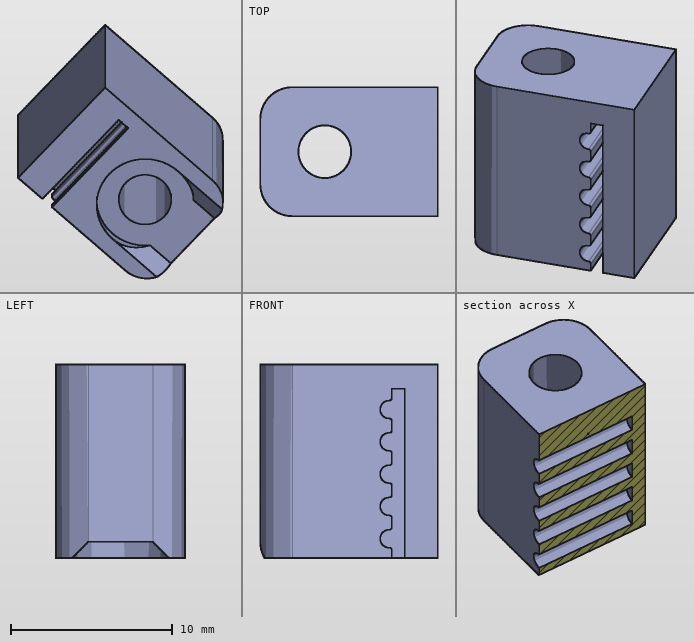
import cadquery as cq

length = 11.0
width = 8.0
height = 12.0
corner_radius = 2.0

hole_x = 4.0
hole_diameter = 3.25
counterbore_diameter = 6.0
counterbore_depth = 1.0

notch_bottom_width = counterbore_diameter
notch_top_width = width - 2 * corner_radius

slot_end_wall = 1.0
slot_depth = width - slot_end_wall
plain_wall_x = 8.95
slot_width = 0.8
toothed_wall_x = plain_wall_x - slot_width
slot_top_z = 10.5
tooth_count = 5
tooth_pitch = 2.0
first_tooth_z = 1.2
tooth_depth = 0.72
tooth_radius = 0.555
tooth_mouth_fillet = 0.15


def make_block():
    block = cq.Workplane("XY").box(length, width, height, centered=(False, True, False))
    return block.edges("|Z and <X").fillet(corner_radius)


def make_screw_cut():
    hole = cq.Workplane("XY").center(hole_x, 0).circle(hole_diameter / 2).extrude(height)
    counterbore = (
        cq.Workplane("XY").center(hole_x, 0).circle(counterbore_diameter / 2).extrude(counterbore_depth)
    )
    return hole.union(counterbore)


def make_notch():
    """Trapezoid prism running along X from the rounded face to the hole axis."""
    return (
        cq.Workplane("YZ")
        .moveTo(-notch_bottom_width / 2, 0)
        .lineTo(notch_bottom_width / 2, 0)
        .lineTo(notch_top_width / 2, counterbore_depth)
        .lineTo(-notch_top_width / 2, counterbore_depth)
        .close()
        .extrude(hole_x)
    )


def make_belt_slot():
    """Plain slot with one rounded tooth space per belt tooth along its -X wall."""
    mouth_half = tooth_radius + tooth_mouth_fillet
    flank_x = toothed_wall_x - tooth_mouth_fillet
    tip_x = toothed_wall_x - tooth_depth
    round_x = tip_x + tooth_radius
    slot_end_y = width / 2 - slot_end_wall
    outline = cq.Workplane("XZ", origin=(0, slot_end_y, 0)).moveTo(toothed_wall_x, 0)
    for index in range(tooth_count):
        z = first_tooth_z + index * tooth_pitch
        outline = (
            outline.lineTo(toothed_wall_x, z - mouth_half)
            .radiusArc((flank_x, z - tooth_radius), -tooth_mouth_fillet)
            .lineTo(round_x, z - tooth_radius)
            .threePointArc((tip_x, z), (round_x, z + tooth_radius))
            .lineTo(flank_x, z + tooth_radius)
            .radiusArc((toothed_wall_x, z + mouth_half), -tooth_mouth_fillet)
        )
    return (
        outline.lineTo(toothed_wall_x, slot_top_z)
        .lineTo(plain_wall_x, slot_top_z)
        .lineTo(plain_wall_x, 0)
        .close()
        .extrude(slot_depth)
    )


result = make_block().cut(make_screw_cut()).cut(make_notch()).cut(make_belt_slot())